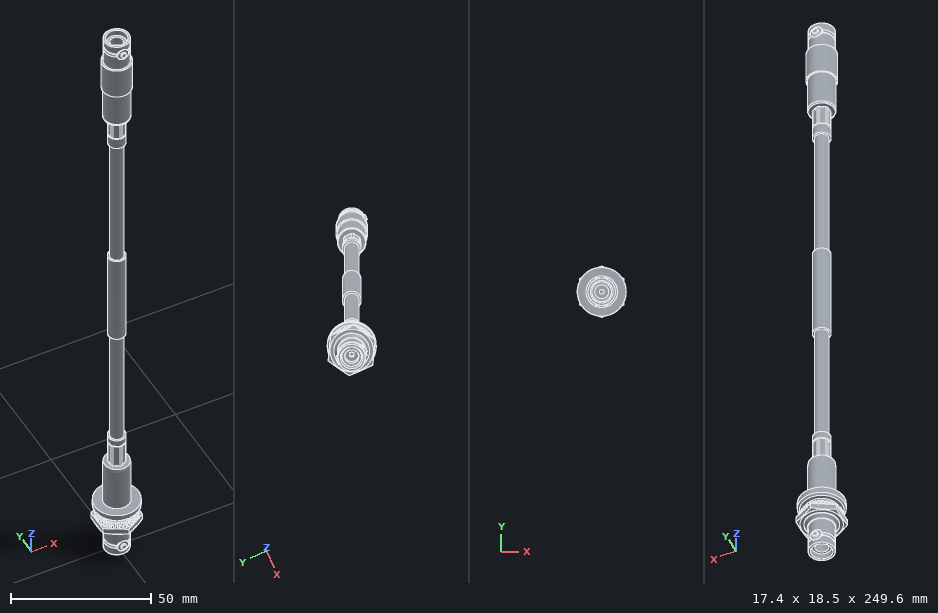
import cadquery as cq
import math

LENGTH = 249.6

SHELL_R = 9.7 / 2
BORE_R = 4.0
BORE_DEPTH = 7.5
LUG_R = 1.0
LUG_TIP_R = 11.2 / 2
LUG_OFFSET = 4.0
LUG_PAD_R = 2.2
LUG_PAD_HEIGHT = 0.07
BAND_DEPTH = 0.5
BAND_WIDTH = 1.5
PIN_SEAM_ANGLE = 45

INSULATOR_R = 3.5
INSULATOR_RECESS = 2.0
CONTACT_RECESS_R = 2.5
CONTACT_RECESS_DEPTH = 3.7
CONTACT_HOLE_R = 0.87

BODY_R = 10.2 / 2
COLLAR_R = 11.2 / 2
COLLAR_TOP = 238.7
COLLAR_BOTTOM = 226.0
STRAIGHT_BACK = 211.2
STRAIGHT_BEVEL = 0.7

BULKHEAD_BACK = 42.0
BULKHEAD_BEVEL = 1.5
BEVEL_STEP = 0.2
FLANGE_R = 8.7
FLANGE_TOP = 23.0
FLANGE_BOTTOM = 19.7
FLANGE_CHAMFER = 0.7
THREAD_R = 12.7 / 2
THREAD_BOTTOM = 11.5
THREAD_CHAMFER = 1.2
THREAD_ROOT_R = 5.7
THREAD_PITCH = 1.5
THREAD_GROOVES = 4

NUT_CORNERS = 18.5
NUT_BOTTOM = 13.0
NUT_TOP = 15.7
NUT_CHAMFER = 0.5
NUT_FACE_R = 7.7
WASHER_R = 8.0
WASHER_THICKNESS = 1.5
TOOTH_COUNT = 32
TOOTH_GAP = 0.7
TOOTH_DEPTH = 1.0

CABLE_R = 5.2 / 2
SLEEVE_R = 6.7 / 2
SLEEVE_TOP = 142.8
SLEEVE_BOTTOM = 104.5
FERRULE_R = 6.7 / 2
FERRULE_LENGTH = 12.7
CRIMP_FLATS = 6.0
CRIMP_CORNER_R = 3.2
TOP_CRIMP_LENGTH = 8.2
BOTTOM_CRIMP_LENGTH = 9.7


def cylinder(radius, bottom, top):
    return cq.Workplane("XY").workplane(offset=bottom).circle(radius).extrude(top - bottom)


def tube(radius, bore, bottom, top):
    return cylinder(radius, bottom, top).cut(cylinder(bore, bottom, top))


def hexagon(corners, bottom, top):
    """Hexagonal prism with corners on the Y axis and flats facing X."""
    prism = cq.Workplane("XY").workplane(offset=bottom).polygon(6, corners).extrude(top - bottom)
    return prism.rotate((0, 0, 0), (0, 0, 1), 90)


def revolve(profile):
    """Turn a closed (radius, Z) profile about the Z axis."""
    return cq.Workplane("XZ").polyline(profile).close().revolve(360, (0, 0, 0), (0, 1, 0))


def flip(body):
    """Turn a body at the top end over to the bottom end."""
    middle = LENGTH / 2
    return body.rotate((0, 0, middle), (1, 0, middle), 180)


def crosswise_pin(radius, half_length, z):
    """Cylinder along Y, centred on the axis, its seam turned away from the root of the band."""
    pin = cq.Workplane("XZ").center(0, z).circle(radius).extrude(half_length, both=True)
    return pin.rotate((0, 0, z), (0, 1, z), PIN_SEAM_ANGLE)


def mating_end(bottom):
    """Bored shell with a shallow band and two bayonet lugs, its rim at the top end."""
    lug_z = LENGTH - LUG_OFFSET
    shell = revolve([
        (0, bottom),
        (SHELL_R, bottom),
        (SHELL_R, lug_z - BAND_WIDTH / 2),
        (SHELL_R - BAND_DEPTH, lug_z),
        (SHELL_R, lug_z + BAND_WIDTH / 2),
        (SHELL_R, LENGTH),
        (0, LENGTH),
    ])
    shell = shell.union(crosswise_pin(LUG_PAD_R, SHELL_R + LUG_PAD_HEIGHT, lug_z))
    shell = shell.union(crosswise_pin(LUG_R, LUG_TIP_R, lug_z))
    return shell.cut(cylinder(BORE_R, LENGTH - BORE_DEPTH, LENGTH))


def make_straight_socket():
    back = revolve([
        (0, STRAIGHT_BACK),
        (BODY_R - BEVEL_STEP, STRAIGHT_BACK),
        (BODY_R, STRAIGHT_BACK + STRAIGHT_BEVEL),
        (BODY_R, COLLAR_BOTTOM),
        (COLLAR_R, COLLAR_BOTTOM),
        (COLLAR_R, COLLAR_TOP),
        (0, COLLAR_TOP),
    ])
    return back.union(mating_end(COLLAR_TOP))


def thread_groove(bottom):
    """V-shaped ring, one pitch wide, that stands for one turn of the thread."""
    return revolve([
        (THREAD_R, bottom),
        (THREAD_ROOT_R, bottom + THREAD_PITCH / 2),
        (THREAD_R, bottom + THREAD_PITCH),
    ])


def make_bulkhead_socket():
    back = revolve([
        (0, THREAD_BOTTOM),
        (THREAD_R - THREAD_CHAMFER, THREAD_BOTTOM),
        (THREAD_R, THREAD_BOTTOM + THREAD_CHAMFER),
        (THREAD_R, FLANGE_BOTTOM),
        (FLANGE_R - FLANGE_CHAMFER, FLANGE_BOTTOM),
        (FLANGE_R, FLANGE_BOTTOM + FLANGE_CHAMFER),
        (FLANGE_R, FLANGE_TOP),
        (BODY_R, FLANGE_TOP),
        (BODY_R, BULKHEAD_BACK - BULKHEAD_BEVEL),
        (BODY_R - BEVEL_STEP, BULKHEAD_BACK),
        (0, BULKHEAD_BACK),
    ])
    for turn in range(THREAD_GROOVES):
        back = back.cut(thread_groove(FLANGE_BOTTOM - (turn + 1) * THREAD_PITCH))
    return back.union(flip(mating_end(LENGTH - THREAD_BOTTOM)))


def make_insulator():
    """Stepped sleeve standing on the bore floor of the top mating end."""
    face = LENGTH - INSULATOR_RECESS
    floor = LENGTH - BORE_DEPTH
    body = tube(INSULATOR_R, CONTACT_HOLE_R, floor, face)
    return body.cut(cylinder(CONTACT_RECESS_R, face - CONTACT_RECESS_DEPTH, face))


def make_ferrule(crimp_length):
    """Hexagonal crimp with a round end, lying against the straight socket."""
    crimp_bottom = STRAIGHT_BACK - crimp_length
    crimp_corners = CRIMP_FLATS / math.cos(math.pi / 6)
    body = hexagon(crimp_corners, crimp_bottom, STRAIGHT_BACK)
    body = body.intersect(cylinder(CRIMP_CORNER_R, crimp_bottom, STRAIGHT_BACK))
    end_bottom = STRAIGHT_BACK - FERRULE_LENGTH
    body = body.union(cylinder(FERRULE_R, end_bottom, crimp_bottom))
    return body.cut(cylinder(CABLE_R, end_bottom, STRAIGHT_BACK))


def make_nut():
    corner_r = NUT_CORNERS / 2
    rounding = revolve([
        (0, NUT_BOTTOM),
        (NUT_FACE_R, NUT_BOTTOM),
        (corner_r, NUT_BOTTOM + NUT_CHAMFER),
        (corner_r, NUT_TOP),
        (0, NUT_TOP),
    ])
    body = hexagon(NUT_CORNERS, NUT_BOTTOM, NUT_TOP).intersect(rounding)
    return body.cut(cylinder(THREAD_R, NUT_BOTTOM, NUT_TOP))


def make_lock_washer():
    top = NUT_TOP + WASHER_THICKNESS
    gaps = (
        cq.Workplane("XY").workplane(offset=NUT_TOP)
        .polarArray(WASHER_R, 0, 360, TOOTH_COUNT)
        .rect(2 * TOOTH_DEPTH, TOOTH_GAP)
        .extrude(WASHER_THICKNESS)
    )
    return tube(WASHER_R, THREAD_R, NUT_TOP, top).cut(gaps)


straight_socket = make_straight_socket()
bulkhead_socket = make_bulkhead_socket()
top_insulator = make_insulator()
bottom_insulator = flip(make_insulator())
top_ferrule = make_ferrule(TOP_CRIMP_LENGTH)
bottom_ferrule = flip(make_ferrule(BOTTOM_CRIMP_LENGTH)).translate(
    (0, 0, BULKHEAD_BACK - (LENGTH - STRAIGHT_BACK))
)
cable = cylinder(CABLE_R, BULKHEAD_BACK, STRAIGHT_BACK)
label_sleeve = tube(SLEEVE_R, CABLE_R, SLEEVE_BOTTOM, SLEEVE_TOP)
nut = make_nut()
lock_washer = make_lock_washer()

result = cq.Compound.makeCompound([
    straight_socket.val(),
    bulkhead_socket.val(),
    top_insulator.val(),
    bottom_insulator.val(),
    top_ferrule.val(),
    bottom_ferrule.val(),
    cable.val(),
    label_sleeve.val(),
    nut.val(),
    lock_washer.val(),
])